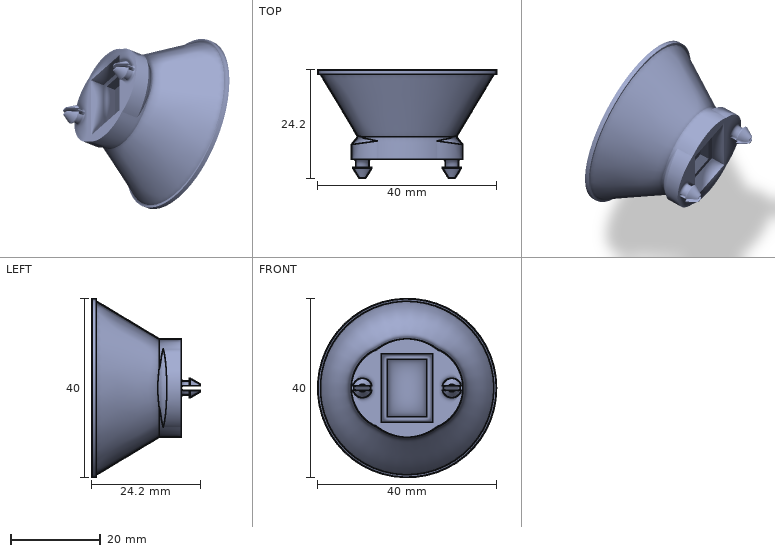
import cadquery as cq


RIM_RADIUS = 20.0
RIM_THICKNESS = 1.0
FLARE_WIDE_RADIUS = 19.4
FLARE_NARROW_RADIUS = 11.0
BASE_BACK = 15.0
BASE_FRONT = 20.0
FLARE_SLOPE = (FLARE_WIDE_RADIUS - FLARE_NARROW_RADIUS) / (BASE_BACK - RIM_THICKNESS)

LOBE_RADIUS = 9.5
LOBE_OFFSET = 3.0
LOBE_REACH = LOBE_OFFSET + LOBE_RADIUS
GROOVE_AXIS = 1.8
GROOVE_START = 14.4
GROOVE_FLOOR = 14.95
GROOVE_BEND_END = 15.5
BEVEL_END = 16.7
GROOVE_START_REACH = 11.3
GROOVE_FLOOR_REACH = 11.15
GROOVE_BEND_REACH = 11.5
BEVEL_CLEARANCE = 0.8

RECESS_WIDTH = 11.5
RECESS_HEIGHT = 15.3
RECESS_DEPTH = 3.3
WINDOW_WIDTH = 8.85
WINDOW_HEIGHT = 12.9

LENS_MOUTH_RADIUS = 19.0
LENS_LENGTH = 14.5
LENS_END_RADIUS = LENS_MOUTH_RADIUS - FLARE_SLOPE * LENS_LENGTH

PEG_OFFSET = 10.0
PEG_RADIUS = 1.6
PEG_ROOT_FILLET = 0.35
PEG_SLOT = 1.0
FOOT_SIZE = 4.0
FOOT_DEPTH = 0.8
BARB_START = 21.75
BARB_LIP = 0.2
BARB_RADIUS = 2.15
BARB_NOSE_RADIUS = 1.05
BARB_NOSE_START = 23.9
BARB_TIP_RADIUS = 0.85
PEG_TIP = 24.25


def revolve_about_axis(profile):
    """Turn a closed profile, drawn in the XY plane, around the Y axis."""
    return profile.close().revolve(360, (0, 0, 0), (0, 1, 0))


def section_at(depth):
    """Workplane across the optical axis at a distance from the mouth; +Y is its back."""
    return cq.Workplane("XZ", origin=(0, -depth, 0))


def disc(start, end, x, radius):
    return section_at(start).center(x, 0).circle(radius).extrude(end - start)


def block(start, end, width, height, x=0):
    return section_at(start).center(x, 0).rect(width, height).extrude(end - start)


def make_flare():
    return revolve_about_axis(
        cq.Workplane("XY")
        .moveTo(0, 0)
        .lineTo(RIM_RADIUS, 0)
        .lineTo(RIM_RADIUS, -RIM_THICKNESS)
        .lineTo(FLARE_WIDE_RADIUS, -RIM_THICKNESS)
        .lineTo(FLARE_NARROW_RADIUS, -BASE_BACK)
        .lineTo(FLARE_NARROW_RADIUS, -BASE_FRONT)
        .lineTo(0, -BASE_FRONT)
    )


def make_groove_cutter():
    """Ring behind the +X lobe: an arc-shaped groove floor running out into a conical bevel."""
    lobe_reach = LOBE_REACH - GROOVE_AXIS
    bend_radius = GROOVE_BEND_REACH - GROOVE_AXIS
    slope = (BEVEL_END - GROOVE_BEND_END) / (lobe_reach - bend_radius)
    outer_radius = lobe_reach + BEVEL_CLEARANCE
    cutter = revolve_about_axis(
        cq.Workplane("XY")
        .moveTo(outer_radius, -GROOVE_START)
        .lineTo(GROOVE_START_REACH - GROOVE_AXIS, -GROOVE_START)
        .threePointArc(
            (GROOVE_FLOOR_REACH - GROOVE_AXIS, -GROOVE_FLOOR),
            (bend_radius, -GROOVE_BEND_END),
        )
        .lineTo(outer_radius, -BEVEL_END - slope * BEVEL_CLEARANCE)
    )
    return cutter.translate((GROOVE_AXIS, 0, 0))


def make_lobe():
    """The +X lobe with its groove and bevel."""
    lobe = disc(GROOVE_START, BASE_FRONT, LOBE_OFFSET, LOBE_RADIUS)
    return lobe.cut(make_groove_cutter())


def make_lens():
    return revolve_about_axis(
        cq.Workplane("XY")
        .moveTo(0, 0)
        .lineTo(LENS_MOUTH_RADIUS, 0)
        .lineTo(LENS_END_RADIUS, -LENS_LENGTH)
        .lineTo(0, -LENS_LENGTH)
    )


def make_barb():
    return revolve_about_axis(
        cq.Workplane("XY")
        .moveTo(0, -BARB_START)
        .lineTo(BARB_RADIUS, -BARB_START)
        .lineTo(BARB_RADIUS, -BARB_START - BARB_LIP)
        .lineTo(BARB_NOSE_RADIUS, -BARB_NOSE_START)
        .lineTo(BARB_TIP_RADIUS, -PEG_TIP)
        .lineTo(0, -PEG_TIP)
    )


def make_peg(x):
    """One slotted peg on an embedded foot, with its root rounded into the mounting face."""
    shank = disc(BASE_FRONT, BARB_START, x, PEG_RADIUS)
    slot = block(BASE_FRONT, PEG_TIP, 2 * BARB_RADIUS, PEG_SLOT, x)
    foot = block(BASE_FRONT - FOOT_DEPTH, BASE_FRONT, FOOT_SIZE, FOOT_SIZE, x)
    root_reach = PEG_RADIUS + PEG_ROOT_FILLET / 2
    root_edges = cq.selectors.BoxSelector(
        (x - root_reach, -BASE_FRONT - PEG_ROOT_FILLET / 2, -root_reach),
        (x + root_reach, -BASE_FRONT + PEG_ROOT_FILLET / 2, root_reach),
    )
    peg = foot.union(shank.cut(slot)).edges(root_edges).fillet(PEG_ROOT_FILLET)
    barb = make_barb().translate((x, 0, 0))
    return peg.union(barb.cut(slot))


def make_housing(lens):
    lobe = make_lobe()
    housing = make_flare().union(lobe).union(lobe.mirror("YZ"))
    recess_floor = BASE_FRONT - RECESS_DEPTH
    housing = housing.cut(lens)
    housing = housing.cut(block(recess_floor, BASE_FRONT, RECESS_WIDTH, RECESS_HEIGHT))
    housing = housing.cut(block(LENS_LENGTH, recess_floor, WINDOW_WIDTH, WINDOW_HEIGHT))
    for x in (-PEG_OFFSET, PEG_OFFSET):
        housing = housing.union(make_peg(x))
    return housing


lens = make_lens()
housing = make_housing(lens)
result = cq.Compound.makeCompound([housing.val(), lens.val()])